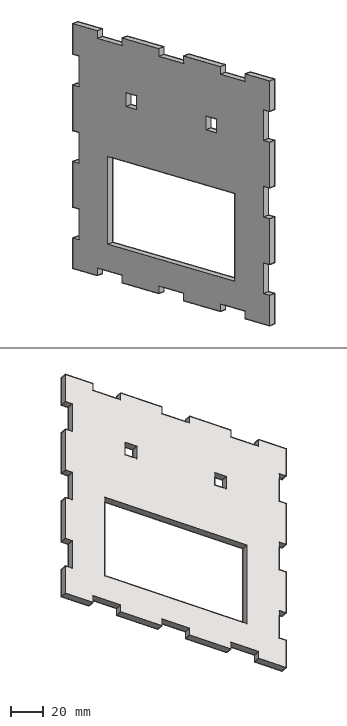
import cadquery as cq

side = 160.0
thickness = 5.0
notch_depth = 5.0
notch_width = 20.0
corner_tab = 20.0
notches_per_side = 3

middle_tab = (side - 2 * corner_tab - notches_per_side * notch_width) / (notches_per_side - 1)
notch_pitch = notch_width + middle_tab

window_width = 103.0
window_height = 57.3
window_bottom = 22.5

hole_width = 8.5
hole_height = 9.0
hole_spacing = 65.0
hole_center_height = 120.5


def through_box(width, height, x, z):
    """Block through the full thickness, centred at (x, z)."""
    return cq.Workplane("XY").box(width, thickness, height).translate((x, 0, z))


def cut_edge_notches(panel):
    """Cut the row of notches along all four edges."""
    notch_center = (side - notch_depth) / 2
    for index in range(notches_per_side):
        along = (index - (notches_per_side - 1) / 2) * notch_pitch
        for edge in (-notch_center, notch_center):
            panel = panel.cut(through_box(notch_width, notch_depth, along, edge))
            panel = panel.cut(through_box(notch_depth, notch_width, edge, along))
    return panel


def cut_window(panel):
    """Cut the large window."""
    center_z = -side / 2 + window_bottom + window_height / 2
    return panel.cut(through_box(window_width, window_height, 0, center_z))


def cut_small_holes(panel):
    """Cut the two small holes, mirrored about the panel's centre line."""
    center_z = -side / 2 + hole_center_height
    for x in (-hole_spacing / 2, hole_spacing / 2):
        panel = panel.cut(through_box(hole_width, hole_height, x, center_z))
    return panel


result = through_box(side, side, 0, 0)
result = cut_edge_notches(result)
result = cut_window(result)
result = cut_small_holes(result)